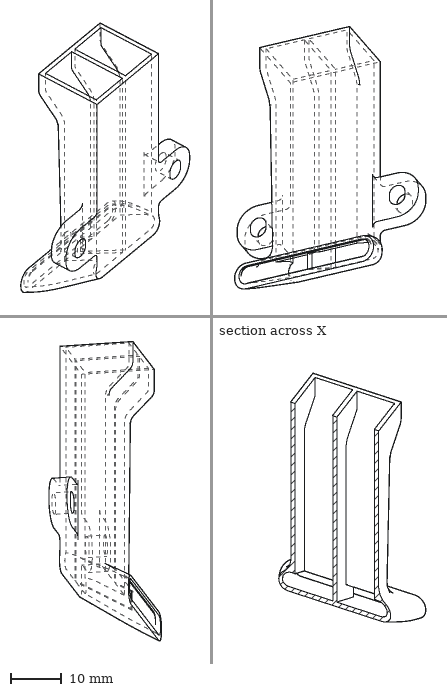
import cadquery as cq
import math

height = 55.0
back_x = 15.0
wall = 1.0

body_half_width = 9.75
head_front_x = 0.3
neck_front_x = 5.05
head_corner_z = 49.95
slope_radius = 2.0
corner_radius_top = 0.3
corner_radius_bottom = 2.4

nozzle_angle = 30.0
mouth_half_width = 15.0
nozzle_back_half_width = 10.0
mouth_height = 5.95
nozzle_edge_radius = 2.5
side_bend_radius = 20.0
side_corner_x = 4.1
neck_fillet = 5.0

floor_height = 1.3
roof_height = 0.9
cavity_edge_radius = 1.55
lip_height = 1.15
lip_depth = 1.0
divider_front_x = 2.75

lug_thickness = 3.7
lug_centre_y = 15.0
lug_centre_z = 21.0
lug_radius = 4.55
lug_hole_radius = 1.65
lug_stretch = 1.0
lug_fillet = 1.0

angle = math.radians(nozzle_angle)
slope = math.tan(angle)
nozzle_thickness = mouth_height * math.cos(angle)
half_slope_tangent = math.tan(math.radians(45.0 / 2))
neck_corner_z = head_corner_z - (neck_front_x - head_front_x)
neck_top_z = neck_corner_z - slope_radius * half_slope_tangent
nozzle_middle_z = mouth_height / 2
overrun = 5.5
tolerance = 0.05
full_width = 4 * mouth_half_width


def side_profile(points, half_width):
    """Prism with an XZ outline, centred on Y = 0."""
    return cq.Workplane("XZ").polyline(points).close().extrude(half_width, both=True)


def above_slope(base_z):
    """Everything above a plane at the nozzle angle that crosses X = 0 at base_z."""
    points = [(0, base_z), (back_x, base_z + back_x * slope), (back_x, height), (0, height)]
    return side_profile(points, full_width)


def round_cross_edge(solid, x, z, radius):
    """Round the edge that runs along Y through the given X and Z."""
    low = (x - tolerance, -full_width, z - tolerance)
    high = (x + tolerance, full_width, z + tolerance)
    return solid.edges(cq.selectors.BoxSelector(low, high)).fillet(radius)


def duct_prism(inset):
    """Stepped duct, shrunk by a wall thickness on its front, back and sides."""
    front = head_front_x + inset
    neck = neck_front_x + inset
    shift = inset * half_slope_tangent
    upper_z = head_corner_z + shift
    lower_z = neck_corner_z + shift
    points = [
        (front, height),
        (front, upper_z),
        (neck, lower_z),
        (neck, 0),
        (back_x - inset, 0),
        (back_x - inset, height),
    ]
    prism = side_profile(points, body_half_width - inset)
    prism = round_cross_edge(prism, front, upper_z, slope_radius - inset)
    return round_cross_edge(prism, neck, lower_z, slope_radius + inset)


def corner_waste_section(z, radius):
    """Region outside the rounded front corner of the neck, at one height on the +Y side."""
    y = body_half_width
    return (
        cq.Workplane("XY", origin=(0, 0, z))
        .moveTo(neck_front_x, y - radius)
        .radiusArc((neck_front_x + radius, y), radius)
        .lineTo(neck_front_x, y)
        .close()
        .wire()
        .val()
    )


def duct_body():
    """Solid duct whose neck is cut off along the underside of the nozzle."""
    sections = [
        corner_waste_section(neck_top_z, corner_radius_top),
        corner_waste_section(0, corner_radius_bottom),
    ]
    waste = cq.Workplane(cq.Solid.makeLoft(sections, True))
    return duct_prism(0).intersect(above_slope(0)).cut(waste).cut(waste.mirror("XZ"))


def along_slope(x):
    """Distance along the nozzle at which its middle plane reaches a given X."""
    return x / math.cos(angle) + nozzle_thickness / 2 * math.tan(angle)


def nozzle_blank(inset, low, high, edge_radius):
    """Round-edged slab along the nozzle slope, between two vertical heights over its underside."""
    corner = along_slope(side_corner_x)
    end = along_slope(back_x) + overrun
    taper = math.atan2(mouth_half_width - nozzle_back_half_width, along_slope(back_x) - corner)
    corner -= inset * math.tan(taper / 2)
    half = mouth_half_width - inset
    radius = side_bend_radius - inset
    tangent = radius * math.tan(taper / 2)
    bend_start = (corner - tangent, half)
    bend_middle = (
        bend_start[0] + radius * math.sin(taper / 2),
        half - radius * (1 - math.cos(taper / 2)),
    )
    bend_end = (corner + tangent * math.cos(taper), half - tangent * math.sin(taper))
    end_half = half - (end - corner) * math.tan(taper)
    plane = cq.Plane(
        origin=(0, 0, low),
        xDir=(math.cos(angle), 0, math.sin(angle)),
        normal=(-math.sin(angle), 0, math.cos(angle)),
    )
    slab = (
        cq.Workplane(plane)
        .moveTo(-overrun, 0)
        .lineTo(-overrun, half)
        .lineTo(*bend_start)
        .threePointArc(bend_middle, bend_end)
        .lineTo(end, end_half)
        .lineTo(end, 0)
        .mirrorX()
        .extrude((high - low) * math.cos(angle))
    )
    across_thickness = cq.selectors.ParallelDirSelector(plane.zDir)
    return slab.edges("not |Y").edges(-across_thickness).fillet(edge_radius)


def slice_along_x(start, end):
    """Large block between two X positions."""
    return cq.Workplane("YZ", origin=(start, 0, 0)).rect(full_width, 3 * height).extrude(end - start)


def is_neck_root(edge):
    """True for the edges where the neck meets the upper half of the nozzle."""
    middle = edge.positionAt(0.5)
    over_underside = middle.z - middle.x * slope
    on_upper_half = nozzle_middle_z < over_underside < mouth_height + tolerance
    on_neck = abs(middle.y) < body_half_width + tolerance
    inside_ends = neck_front_x - tolerance < middle.x < back_x - tolerance
    return on_upper_half and on_neck and inside_ends


def outer_body():
    nozzle = nozzle_blank(0, 0, mouth_height, nozzle_edge_radius)
    nozzle = nozzle.intersect(slice_along_x(0, back_x))
    joined = duct_body().union(nozzle)
    root_edges = [edge for edge in joined.edges().vals() if is_neck_root(edge)]
    blended = joined.newObject(root_edges).fillet(neck_fillet)
    return blended.intersect(above_slope(nozzle_middle_z)).union(nozzle)


def flow_passage():
    """Hollow of the duct and the nozzle, with a steeper ramp just inside the mouth."""
    low = floor_height
    high = mouth_height - roof_height
    channel = nozzle_blank(wall, low, high, cavity_edge_radius)
    ramp_top_z = floor_height + lip_depth * slope
    ramp_angle = math.degrees(math.atan2(ramp_top_z - lip_height, lip_depth))
    pivot = (lip_depth, 0, ramp_top_z)
    pivot_end = (lip_depth, 1, ramp_top_z)
    ramp = channel.rotate(pivot, pivot_end, nozzle_angle - ramp_angle)
    shaft = duct_prism(wall).intersect(above_slope(nozzle_middle_z))
    passage = channel.intersect(slice_along_x(-overrun, back_x - wall)).union(shaft)
    return passage.union(ramp.intersect(slice_along_x(-overrun, lip_depth)))


def divider():
    """Middle partition of the passage, reaching from the top into the nozzle."""
    points = [
        (divider_front_x, 0),
        (back_x, 0),
        (back_x, height),
        (0, height),
        (0, neck_corner_z),
        (divider_front_x, neck_corner_z),
    ]
    return side_profile(points, wall / 2)


def mounting_lug(side):
    """Rounded lug with a slotted hole; side is +1 or -1 along Y."""
    low_z = lug_centre_z - lug_stretch / 2
    high_z = lug_centre_z + lug_stretch / 2
    centre_y = side * lug_centre_y
    root_y = side * (body_half_width - wall / 2)
    face = cq.Workplane("YZ", origin=(back_x - lug_thickness, 0, 0))
    half_height = lug_radius + lug_stretch / 2
    tab = (
        face.moveTo(root_y, lug_centre_z - half_height)
        .lineTo(centre_y, lug_centre_z - half_height)
        .radiusArc((centre_y + side * lug_radius, low_z), -side * lug_radius)
        .lineTo(centre_y + side * lug_radius, high_z)
        .radiusArc((centre_y, lug_centre_z + half_height), -side * lug_radius)
        .lineTo(root_y, lug_centre_z + half_height)
        .close()
        .extrude(lug_thickness)
    )
    slot = (
        face.center(centre_y, lug_centre_z)
        .slot2D(lug_stretch + 2 * lug_hole_radius, 2 * lug_hole_radius, 90)
        .extrude(lug_thickness)
    )
    return tab.cut(slot)


def is_lug_root(edge):
    """True for the short edges where the lugs' upper and lower faces meet the duct."""
    middle = edge.Center()
    box = edge.BoundingBox()
    on_side = abs(abs(middle.y) - body_half_width) < tolerance
    along_x = abs(box.xlen - lug_thickness) < tolerance
    return on_side and along_x and abs(middle.z - lug_centre_z) < 2 * lug_radius


solid = outer_body().union(mounting_lug(1)).union(mounting_lug(-1))
lug_roots = [edge for edge in solid.edges().vals() if is_lug_root(edge)]
solid = solid.newObject(lug_roots).fillet(lug_fillet)
result = solid.cut(flow_passage().cut(divider()))